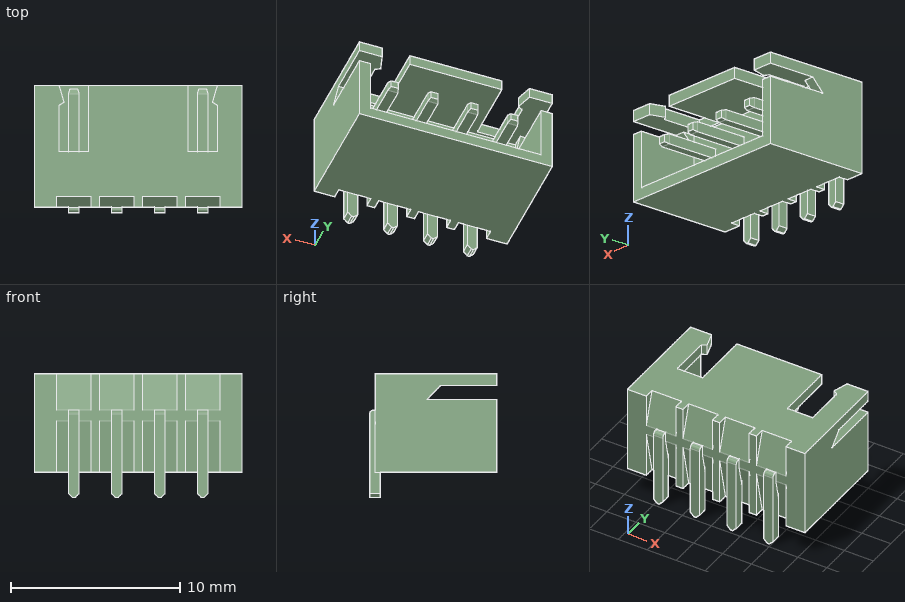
import cadquery as cq


PIN_COUNT = 4
PITCH = 2.54
ROW_X = [(i - (PIN_COUNT - 1) / 2) * PITCH for i in range(PIN_COUNT)]

WIDTH = 12.29
DEPTH = 7.21
HEIGHT = 5.84
WALL = 0.71
CAVITY_DEPTH = 4.13

SIDE_SLOT_HEIGHT = 0.82
SIDE_SLOT_TOP_DEPTH = 3.33

NOTCH_DEPTH = 3.92
ARM_WIDTH = 1.46
TONGUE_WIDTH = 5.87
HOOK_REACH = 0.3
HOOK_TIP_DEPTH = 1.0
HOOK_HEEL_DEPTH = 1.18

RECESS_WIDTH = 2.04
RECESS_DEPTH = 0.65
UPPER_RECESS_HEIGHT = 2.16
LOWER_RECESS_HEIGHT = 3.03

PIN_SIZE = 0.64
LEG_OVERHANG = 0.33
PIN_TOP = HEIGHT - UPPER_RECESS_HEIGHT
LEG_BELOW_HOUSING = 1.5
BEND_RADIUS = 0.23
LEG_TIP_CHAMFER = 0.25
TIP_SETBACK = 0.21
CONTACT_TAPER_LENGTH = 0.29
CONTACT_TIP_SIZE = 0.46


def extrude_x(points, width, center_x=0):
    """Prism with a (Y, Z) outline, centred on center_x."""
    prism = cq.Workplane("YZ").polyline(points).close().extrude(width / 2, both=True)
    return prism.translate((center_x, 0, 0))


def make_cavity():
    """Rectangular pocket for the mating plug, open at +Y."""
    size = (WIDTH - 2 * WALL, CAVITY_DEPTH, HEIGHT - 2 * WALL)
    corner = (-size[0] / 2, DEPTH - CAVITY_DEPTH, WALL)
    return cq.Workplane("XY").box(*size, centered=False).translate(corner)


def make_side_slots():
    """One cutter across the full width that opens both side walls under the roof."""
    top = HEIGHT - WALL
    bottom = top - SIDE_SLOT_HEIGHT
    outline = [
        (DEPTH, top),
        (DEPTH - SIDE_SLOT_TOP_DEPTH, top),
        (DEPTH - CAVITY_DEPTH, bottom),
        (DEPTH, bottom),
    ]
    return extrude_x(outline, WIDTH)


def make_roof_notch(side):
    """Notch in the roof on one side (-1 or 1), with the latch hook left standing."""
    arm_x = WIDTH / 2 - ARM_WIDTH
    outline = [
        (arm_x, DEPTH),
        (arm_x - HOOK_REACH, DEPTH - HOOK_TIP_DEPTH),
        (arm_x, DEPTH - HOOK_HEEL_DEPTH),
        (arm_x, DEPTH - NOTCH_DEPTH),
        (TONGUE_WIDTH / 2, DEPTH - NOTCH_DEPTH),
        (TONGUE_WIDTH / 2, DEPTH),
    ]
    sided = [(side * x, y) for x, y in outline]
    return cq.Workplane("XY", origin=(0, 0, HEIGHT - WALL)).polyline(sided).close().extrude(WALL)


def make_recess(center_x, face_z, apex_z):
    """Wedge deepest at face_z and running out to the rear face at apex_z."""
    return extrude_x([(0, face_z), (RECESS_DEPTH, face_z), (0, apex_z)], RECESS_WIDTH, center_x)


def make_pin(center_x):
    """Bent pin: vertical leg at the rear, horizontal contact inside the cavity."""
    leg_rear = -LEG_OVERHANG
    leg_front = leg_rear + PIN_SIZE
    tip_y = DEPTH - TIP_SETBACK
    shoulder_y = tip_y - CONTACT_TAPER_LENGTH

    outline = [
        (leg_rear, -LEG_BELOW_HOUSING),
        (leg_rear, PIN_TOP),
        (shoulder_y, PIN_TOP),
        (shoulder_y, PIN_TOP - PIN_SIZE),
        (leg_front, PIN_TOP - PIN_SIZE),
        (leg_front, -LEG_BELOW_HOUSING),
    ]
    body = extrude_x(outline, PIN_SIZE)
    body = body.edges("|X and <Y and >Z").fillet(BEND_RADIUS)
    body = body.faces("<Z").edges("|Y").chamfer(LEG_TIP_CHAMFER)

    contact_tip = (
        cq.Workplane("XZ", origin=(0, shoulder_y, PIN_TOP - PIN_SIZE / 2))
        .rect(PIN_SIZE, PIN_SIZE)
        .workplane(offset=-CONTACT_TAPER_LENGTH)
        .rect(CONTACT_TIP_SIZE, CONTACT_TIP_SIZE)
        .loft()
    )
    return body.union(contact_tip).translate((center_x, 0, 0))


def make_housing(pins):
    """Housing with a matching passage for every pin."""
    housing = cq.Workplane("XY").box(WIDTH, DEPTH, HEIGHT, centered=(True, False, False))
    housing = housing.cut(make_cavity()).cut(make_side_slots())
    for side in (-1, 1):
        housing = housing.cut(make_roof_notch(side))
    for x in ROW_X:
        housing = housing.cut(make_recess(x, HEIGHT, HEIGHT - UPPER_RECESS_HEIGHT))
        housing = housing.cut(make_recess(x, 0, LOWER_RECESS_HEIGHT))
    for pin in pins:
        housing = housing.cut(pin)
    return housing


contact_pins = [make_pin(x) for x in ROW_X]
housing = make_housing(contact_pins)

result = cq.Compound.makeCompound([housing.solids().val(), *[pin.solids().val() for pin in contact_pins]])